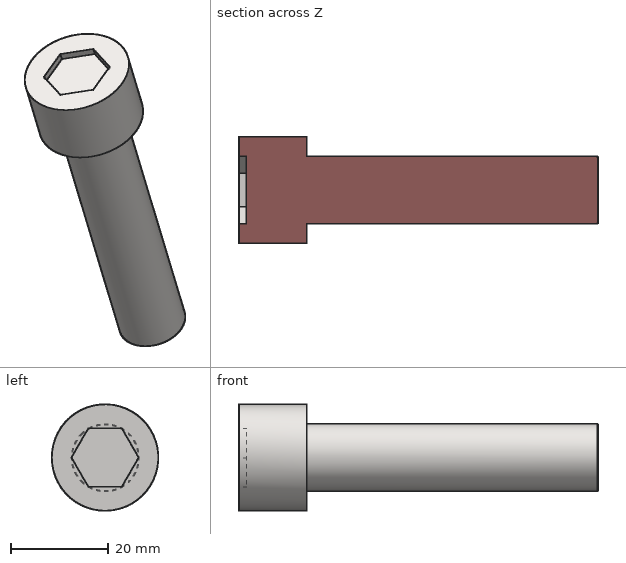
import cadquery as cq
import math

shank_diameter = 14.0
shank_length = 60.0
tip_chamfer = 0.2

head_diameter = 22.0
head_height = shank_diameter

socket_across_flats = 12.0
socket_depth = 1.5
socket_across_corners = socket_across_flats / math.cos(math.radians(30))


def make_head():
    """Cylindrical head reaching from the bearing face towards -X."""
    return cq.Workplane("YZ").circle(head_diameter / 2).extrude(-head_height)


def make_shank():
    """Plain shank along +X with a small chamfer around its free end."""
    shank = cq.Workplane("YZ").circle(shank_diameter / 2).extrude(shank_length)
    return shank.faces(">X").edges().chamfer(tip_chamfer)


def make_socket():
    """Hexagonal prism sunk into the head, with two corners on the Y axis."""
    return (
        cq.Workplane("YZ", origin=(-head_height, 0, 0))
        .polygon(6, socket_across_corners)
        .extrude(socket_depth)
    )


result = make_head().union(make_shank()).cut(make_socket())